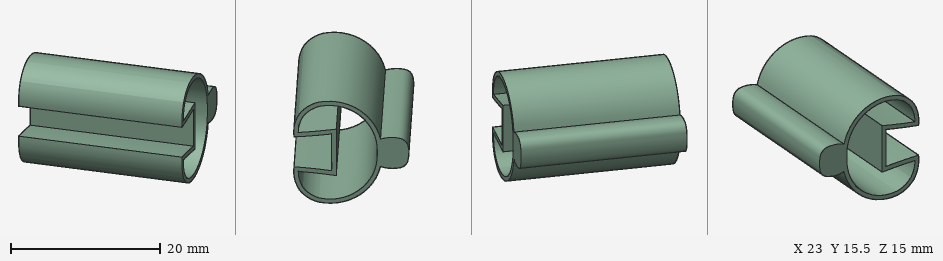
import cadquery as cq

length = 23.0
wall = 0.62

back = (7.08, 0)
shoulder = (4.74, 5.73)
crown_end = (-1.43, 7.31)
front_bend = (-2.95, 6.58)
front_start = (-3.98, 5.55)
front_bulge = (-4.65, 3.8)
lip = (-4.7, 2.18)
slot_side = (-2.18, 2.4)
slot_corner = (0.37, 2.7)

rib_root = (6.8, 1.98)
rib_top = (8.4, 2.28)
rib_top_end = (9.43, 2.18)
rib_bend = (10.28, 1.72)
rib_end_edge = (10.65, 0.92)
rib_tip = (10.75, 0)


def mirrored(point):
    """Reflect a (Y, Z) section point about Z = 0."""
    return (point[0], -point[1])


def add_arcs(section, arcs):
    """Continue a section through (middle, end) arc pairs."""
    for middle, end in arcs:
        section = section.threePointArc(middle, end)
    return section


def mirrored_arcs(start, arcs):
    """Return the arcs of the lower half, running back towards start."""
    starts = [start] + [end for _, end in arcs[:-1]]
    lower = [(mirrored(middle), mirrored(begin)) for (middle, _), begin in zip(arcs, starts)]
    return lower[::-1]


def clip_outline():
    upper = [
        (shoulder, crown_end),
        (front_bend, front_start),
        (front_bulge, lip),
        (slot_side, slot_corner),
    ]
    section = add_arcs(cq.Workplane("YZ").moveTo(*back), upper)
    section = section.lineTo(*mirrored(slot_corner))
    return add_arcs(section, mirrored_arcs(back, upper)).close()


def make_rib():
    upper = [(rib_top, rib_top_end), (rib_bend, rib_end_edge)]
    section = add_arcs(cq.Workplane("YZ").moveTo(*rib_root), upper)
    section = section.threePointArc(rib_tip, mirrored(rib_end_edge))
    section = add_arcs(section, mirrored_arcs(rib_root, upper))
    return section.close().extrude(length)


body = clip_outline().extrude(length)
cavity = clip_outline().offset2D(-wall, "intersection").extrude(length)

result = body.union(make_rib()).cut(cavity)